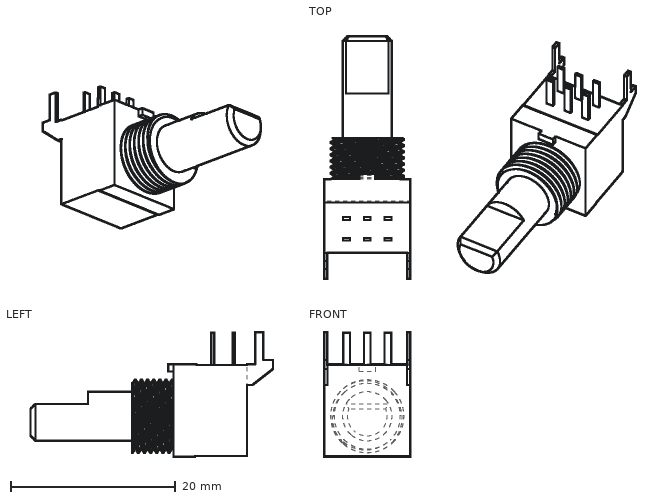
import cadquery as cq
import math


housing_width = 10.5
plate_depth = 2.65
plate_top_depth = 2.85
plate_bottom = -4.95
plate_top = 6.35
case_step = 0.1
housing_depth = 9.0
case_bottom = plate_bottom + case_step
case_top = plate_top - case_step

tab_width = 2.0
tab_length = 0.62
tab_height = 0.9

bushing_length = 5.0
bushing_embed = 0.2
thread_pitch = 0.75
thread_root_radius = 8.05 / 2
thread_crest_radius = 8.91 / 2
thread_crest_width = 0.1
thread_flank_angle = 30.0
thread_crest_offset = 0.13
thread_overlap = 0.1

shaft_radius = 6.0 / 2
shaft_tip = 17.4
flat_length = 7.0
flat_height = 1.5
tip_chamfer = 0.6

pin_columns = (-2.5, 0.0, 2.5)
pin_rows = ((-4.82, 0.4), (-7.35, 0.3))
pin_width = 0.85
pin_top = 10.18

lug_thickness = 0.4
lug_root_depth = 1.0
lug_end = -12.16
lug_bottom = 3.8
lug_bottom_length = 0.65
lug_nose_bottom = 5.75
lug_shelf_top = 6.88
post_front = -9.97
post_back = -10.97
post_top = 10.25


def box(x_range, y_range, z_range):
    """Axis-aligned block spanning the given limits."""
    lows, highs = zip(x_range, y_range, z_range)
    sizes = [high - low for low, high in zip(lows, highs)]
    return cq.Workplane("XY").box(*sizes, centered=False).translate(lows)


def y_cylinder(radius, y_start, y_end):
    """Cylinder on the Y axis."""
    base_centre = cq.Vector(0, y_start, 0)
    y_axis = cq.Vector(0, 1, 0)
    return cq.Workplane(cq.Solid.makeCylinder(radius, y_end - y_start, base_centre, y_axis))


def make_housing():
    half_width = housing_width / 2
    x_range = (-half_width, half_width)
    plate = box(x_range, (-plate_depth, 0), (plate_bottom, plate_top))
    plate_ledge = box(x_range, (-plate_top_depth, 0), (0, plate_top))
    case = box(x_range, (-housing_depth, 0), (case_bottom, case_top))
    tab = box(
        (-tab_width / 2, tab_width / 2),
        (-plate_depth, tab_length),
        (plate_top - tab_height, plate_top),
    )
    return plate.union(plate_ledge).union(case).union(tab)


def make_thread_ridge(start, turns):
    """Right-handed helical ridge whose first crest is on the +Z side at Y = start."""
    helix_plane = cq.Plane(origin=(0, start, 0), xDir=(0, 0, 1), normal=(0, 1, 0))
    helix = cq.Wire.makeHelix(thread_pitch, turns * thread_pitch, thread_root_radius)
    path = cq.Workplane(helix.moved(cq.Location(helix_plane)))

    base_radius = thread_root_radius - thread_overlap
    half_crest = thread_crest_width / 2
    flank_slope = math.tan(math.radians(thread_flank_angle))
    half_base = half_crest + (thread_crest_radius - base_radius) * flank_slope
    profile = cq.Workplane("ZY", origin=(0, start, 0)).polyline([
        (base_radius, -half_base),
        (thread_crest_radius, -half_crest),
        (thread_crest_radius, half_crest),
        (base_radius, half_base),
    ]).close()
    return profile.sweep(path, isFrenet=True)


def make_bushing():
    """Threaded bushing, built over-long and then trimmed so the thread runs out at both ends."""
    start = thread_crest_offset - thread_pitch
    turns = math.ceil((bushing_length - start) / thread_pitch)
    ridge = make_thread_ridge(start, turns)
    core_start = start - thread_pitch
    core_end = start + (turns + 1) * thread_pitch
    core = y_cylinder(thread_root_radius, core_start, core_end)
    trim = y_cylinder(thread_crest_radius + thread_overlap, -bushing_embed, bushing_length)
    return core.union(ridge).intersect(trim)


def make_shaft():
    shaft = y_cylinder(shaft_radius, 0, shaft_tip)
    flat_cut = box(
        (-shaft_radius, shaft_radius),
        (shaft_tip - flat_length, shaft_tip),
        (flat_height, shaft_radius),
    )
    return shaft.cut(flat_cut).faces(">Y").edges().chamfer(tip_chamfer)


def make_pin(x_centre, y_centre, thickness):
    return box(
        (x_centre - pin_width / 2, x_centre + pin_width / 2),
        (y_centre - thickness / 2, y_centre + thickness / 2),
        (0, pin_top),
    )


def make_lug(x_start):
    """Flat rear lug with an upright post and a sloping underside."""
    root = -housing_depth + lug_root_depth
    outline = [
        (root, lug_bottom),
        (-housing_depth - lug_bottom_length, lug_bottom),
        (lug_end, lug_nose_bottom),
        (lug_end, lug_shelf_top),
        (post_back, lug_shelf_top),
        (post_back, post_top),
        (post_front, post_top),
        (post_front, plate_top),
        (-housing_depth, plate_top),
        (-housing_depth, case_top),
        (root, case_top),
    ]
    return cq.Workplane("YZ", origin=(x_start, 0, 0)).polyline(outline).close().extrude(lug_thickness)


result = make_housing().union(make_bushing()).union(make_shaft())
for row_y, row_thickness in pin_rows:
    for column_x in pin_columns:
        result = result.union(make_pin(column_x, row_y, row_thickness))
for lug_x in (-housing_width / 2, housing_width / 2 - lug_thickness):
    result = result.union(make_lug(lug_x))